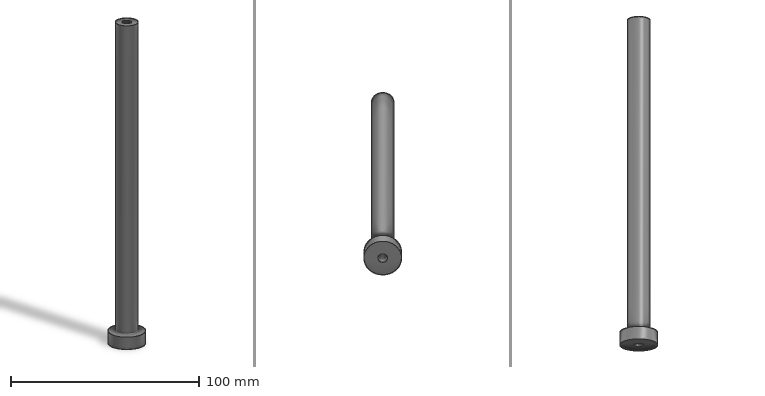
import cadquery as cq

TOTAL_LENGTH = 182.0
HEAD_DIAMETER = 20.0
HEAD_HEIGHT = 7.0
SHANK_DIAMETER = 12.0
BORE_DIAMETER = 5.0
ROOT_FILLET = 0.5


def make_sleeve():
    """Head with its base on Z = 0 and the shank rising from it, rounded into the head at its root."""
    head = cq.Workplane("XY").circle(HEAD_DIAMETER / 2).extrude(HEAD_HEIGHT)
    shank = cq.Workplane("XY").circle(SHANK_DIAMETER / 2).extrude(TOTAL_LENGTH)
    root_edge = cq.selectors.RadiusNthSelector(0)
    sleeve = head.union(shank)
    return sleeve.faces("<Z[1]").edges(root_edge).fillet(ROOT_FILLET)


def make_bore():
    """Straight cylinder that runs the whole length of the sleeve."""
    return cq.Workplane("XY").circle(BORE_DIAMETER / 2).extrude(TOTAL_LENGTH)


result = make_sleeve().cut(make_bore())